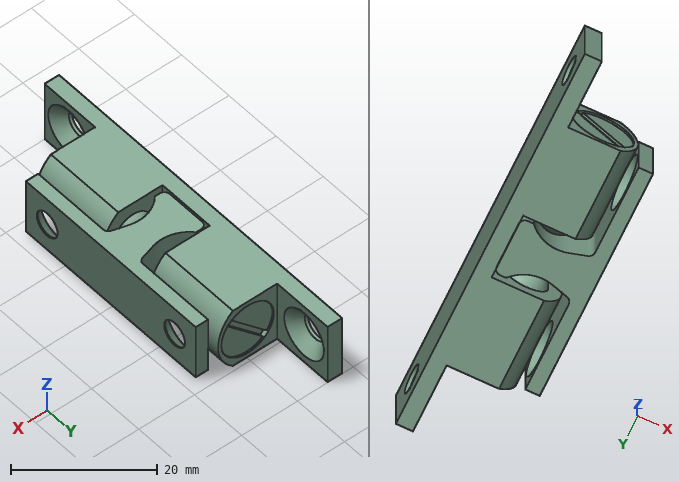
import cadquery as cq
import math

PLATE_LENGTH = 60.0
PLATE_THICKNESS = 2.6
HOUSING_WIDTH = 11.0
BARREL_INNER_Y = 5.0
BARREL_LENGTH = 14.3
BARREL_TOP_X = 13.2
BARREL_CROWN_RADIUS = 7.0
BARREL_AXIS_X = 7.9

SCREW_DIAMETER = 9.4
SCREW_RECESS = 0.3
SLOT_WIDTH = 1.0
SLOT_DEPTH = 0.5
SLOT_ANGLE = 45.0

BALL_RADIUS = 3.5
BALL_PROJECTION = 2.3

HOLE_DIAMETER = 4.4
SINK_DIAMETER = 8.4
SINK_DEPTH = (SINK_DIAMETER - HOLE_DIAMETER) / 2
PLATE_HOLE_Y = 25.0
STRIKE_HOLE_Y = 13.5

STRIKE_OUTER_X = 16.1
FLANGE_THICKNESS = 2.2
FLANGE_LENGTH = 36.0
STRIKE_WIDTH = 10.0
TONGUE_HALF_HEIGHT = 4.4
TONGUE_CORNER_RADIUS = 1.0
WAIST_HALF_HEIGHT = 2.35
WAIST_X = 9.0
SADDLE_RADIUS = 6.0
RAMP_ANGLE = math.radians(16.0)
ROOT_FILLET_RADIUS = 1.0


def mounting_hole(face_x, toward_x, y):
    """Through hole whose countersink opens at face_x; toward_x (+1 or -1) points into the metal."""
    direction = cq.Vector(toward_x, 0, 0)
    mouth = cq.Vector(face_x, y, 0)
    cone = cq.Solid.makeCone(SINK_DIAMETER / 2, HOLE_DIAMETER / 2, SINK_DEPTH, mouth, direction)
    bore = cq.Solid.makeCylinder(HOLE_DIAMETER / 2, 2 * PLATE_THICKNESS, mouth, direction)
    return cq.Workplane(obj=cone).union(cq.Workplane(obj=bore))


def barrel():
    """Spring barrel on the +Y side, with its crowned top, ball nose and slotted screw."""
    half_width = HOUSING_WIDTH / 2
    crown_center_x = BARREL_TOP_X - BARREL_CROWN_RADIUS
    crown_edge_x = crown_center_x + math.sqrt(BARREL_CROWN_RADIUS**2 - half_width**2)
    outer_y = BARREL_INNER_Y + BARREL_LENGTH
    body = (
        cq.Workplane("XZ", origin=(0, outer_y, 0))
        .moveTo(0, -half_width)
        .lineTo(crown_edge_x, -half_width)
        .threePointArc((BARREL_TOP_X, 0), (crown_edge_x, half_width))
        .lineTo(0, half_width)
        .close()
        .extrude(BARREL_LENGTH)
    )

    ball_y = BARREL_INNER_Y - BALL_PROJECTION + BALL_RADIUS
    ball = cq.Workplane("XY", origin=(BARREL_AXIS_X, ball_y, 0)).sphere(BALL_RADIUS)

    def screw_end(depth):
        return (
            cq.Workplane("XZ", origin=(BARREL_AXIS_X, outer_y, 0))
            .circle(SCREW_DIAMETER / 2)
            .extrude(depth)
        )

    recess = screw_end(SCREW_RECESS)
    slot_floor_depth = SCREW_RECESS + SLOT_DEPTH
    slot = (
        cq.Workplane("XZ", origin=(BARREL_AXIS_X, outer_y, 0))
        .transformed(rotate=(0, 0, SLOT_ANGLE))
        .rect(SCREW_DIAMETER, SLOT_WIDTH)
        .extrude(slot_floor_depth)
        .intersect(screw_end(slot_floor_depth))
    )
    return body.union(ball).cut(recess).cut(slot)


def make_housing():
    """Base plate with a barrel at each end, the second one turned half round about X."""
    housing = cq.Workplane("XY").box(
        PLATE_THICKNESS, PLATE_LENGTH, HOUSING_WIDTH, centered=(False, True, True)
    )
    for turn in (0, 180):
        housing = housing.union(barrel().rotate((0, 0, 0), (1, 0, 0), turn))
    for side in (-1, 1):
        housing = housing.cut(mounting_hole(PLATE_THICKNESS, -1, side * PLATE_HOLE_Y))
    return housing


def saddle_cutter(flange_x):
    """Space beside the +Y flank of the tongue: saddle arc, straight ramp and root fillet."""
    saddle_center_y = WAIST_HALF_HEIGHT + SADDLE_RADIUS
    edge_x = WAIST_X - math.sqrt(SADDLE_RADIUS**2 - (saddle_center_y - TONGUE_HALF_HEIGHT) ** 2)
    ramp_start_x = WAIST_X + SADDLE_RADIUS * math.sin(RAMP_ANGLE)
    ramp_start_y = saddle_center_y - SADDLE_RADIUS * math.cos(RAMP_ANGLE)

    fillet_center_x = flange_x - ROOT_FILLET_RADIUS
    ramp_end_x = fillet_center_x + ROOT_FILLET_RADIUS * math.sin(RAMP_ANGLE)
    ramp_end_y = ramp_start_y + (ramp_end_x - ramp_start_x) * math.tan(RAMP_ANGLE)
    fillet_end_y = ramp_end_y + ROOT_FILLET_RADIUS * math.cos(RAMP_ANGLE)

    return (
        cq.Workplane("XY", origin=(0, 0, -STRIKE_WIDTH / 2))
        .moveTo(edge_x, TONGUE_HALF_HEIGHT)
        .threePointArc((WAIST_X, WAIST_HALF_HEIGHT), (ramp_start_x, ramp_start_y))
        .lineTo(ramp_end_x, ramp_end_y)
        .tangentArcPoint((flange_x, fillet_end_y), relative=False)
        .lineTo(flange_x, saddle_center_y)
        .lineTo(edge_x, saddle_center_y)
        .close()
        .extrude(STRIKE_WIDTH)
    )


def make_strike():
    """Flange with the tongue reaching back to the base plate between the balls."""
    flange_x = STRIKE_OUTER_X - FLANGE_THICKNESS
    flange = cq.Workplane("XY", origin=(flange_x, 0, 0)).box(
        FLANGE_THICKNESS, FLANGE_LENGTH, STRIKE_WIDTH, centered=(False, True, True)
    )
    tongue = (
        cq.Workplane("XY", origin=(PLATE_THICKNESS, 0, 0))
        .box(
            flange_x - PLATE_THICKNESS,
            2 * TONGUE_HALF_HEIGHT,
            STRIKE_WIDTH,
            centered=(False, True, True),
        )
        .edges("|Z and <X")
        .fillet(TONGUE_CORNER_RADIUS)
    )
    strike = flange.union(tongue)
    saddle = saddle_cutter(flange_x)
    strike = strike.cut(saddle).cut(saddle.mirror("XZ"))
    for side in (-1, 1):
        strike = strike.cut(mounting_hole(flange_x, 1, side * STRIKE_HOLE_Y))
    return strike


housing = make_housing()
strike = make_strike()

result = cq.Compound.makeCompound([housing.val(), strike.val()])